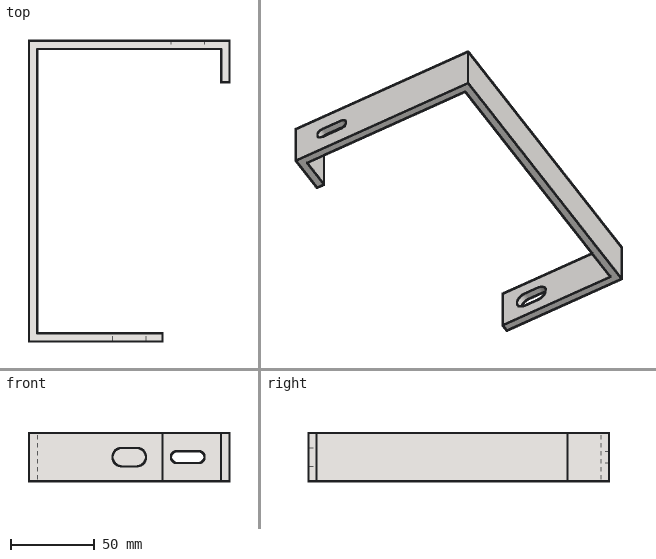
import cadquery as cq

width = 120.0
depth = 180.0
height = 29.0
thickness = 5.0

front_arm_length = 80.0
lip_length = 25.0

slot_length = 20.0
front_slot_height = 11.0
rear_slot_height = 7.0
front_slot_inset = 20.0
rear_slot_inset = 25.0
front_slot_x = front_arm_length - front_slot_inset
rear_slot_x = width - rear_slot_inset


def strap():
    """Constant-thickness strap profile in XY, extruded along Z."""
    outline = [
        (0, 0),
        (front_arm_length, 0),
        (front_arm_length, thickness),
        (thickness, thickness),
        (thickness, depth - thickness),
        (width - thickness, depth - thickness),
        (width - thickness, depth - lip_length),
        (width, depth - lip_length),
        (width, depth),
        (0, depth),
    ]
    return cq.Workplane("XY").polyline(outline).close().extrude(height)


def slot_cutter(center_x, arm_front_y, slot_height):
    """Round-ended slot running along X, passing through one arm in Y."""
    return (
        cq.Workplane("XZ", origin=(center_x, arm_front_y, height / 2))
        .slot2D(slot_length, slot_height)
        .extrude(-thickness)
    )


front_slot = slot_cutter(front_slot_x, 0, front_slot_height)
rear_slot = slot_cutter(rear_slot_x, depth - thickness, rear_slot_height)

result = strap().cut(front_slot).cut(rear_slot)